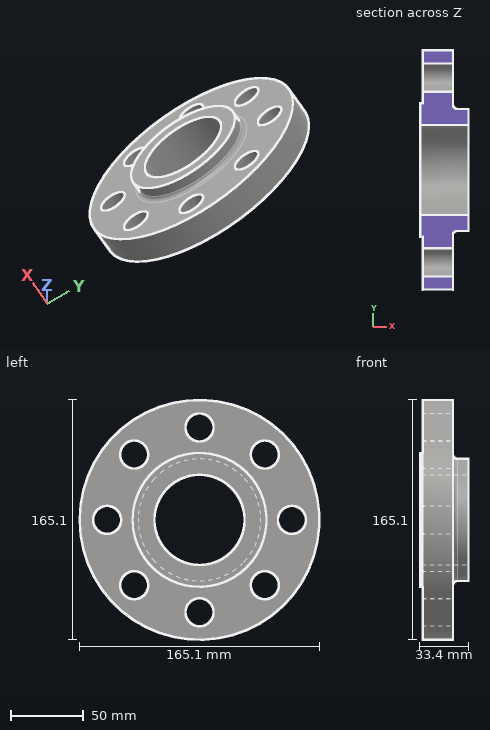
import cadquery as cq

total_length = 33.4
raised_face_height = 1.7
flange_thickness = 21.0
root_fillet = 3.0

flange_diameter = 165.1
raised_face_diameter = 92.1
hub_diameter = 84.2
bore_diameter = 61.9
bolt_circle_diameter = 127.1
bolt_hole_diameter = 19.2
bolt_hole_count = 8

flange_front = raised_face_height
flange_back = flange_front + flange_thickness
hub_length = total_length - flange_back


def disc(diameter, start, length):
    """Solid cylinder along +X beginning at the given station."""
    return cq.Workplane("YZ").workplane(offset=start).circle(diameter / 2).extrude(length)


def hub_root():
    """Concave fillet ring blending the hub into the back of the flange."""
    hub_radius = hub_diameter / 2
    return (
        cq.Workplane("XY")
        .moveTo(flange_back + root_fillet, hub_radius)
        .radiusArc((flange_back, hub_radius + root_fillet), root_fillet)
        .lineTo(flange_back, 0)
        .lineTo(flange_back + root_fillet, 0)
        .close()
        .revolve(360, (0, 0, 0), (1, 0, 0))
    )


def bolt_holes():
    """Through holes evenly spaced on the bolt circle."""
    return (
        cq.Workplane("YZ")
        .polarArray(bolt_circle_diameter / 2, 0, 360, bolt_hole_count)
        .circle(bolt_hole_diameter / 2)
        .extrude(total_length)
    )


body = (
    disc(raised_face_diameter, 0, raised_face_height)
    .union(disc(flange_diameter, flange_front, flange_thickness))
    .union(disc(hub_diameter, flange_back, hub_length))
    .union(hub_root())
)
result = body.cut(disc(bore_diameter, 0, total_length)).cut(bolt_holes())